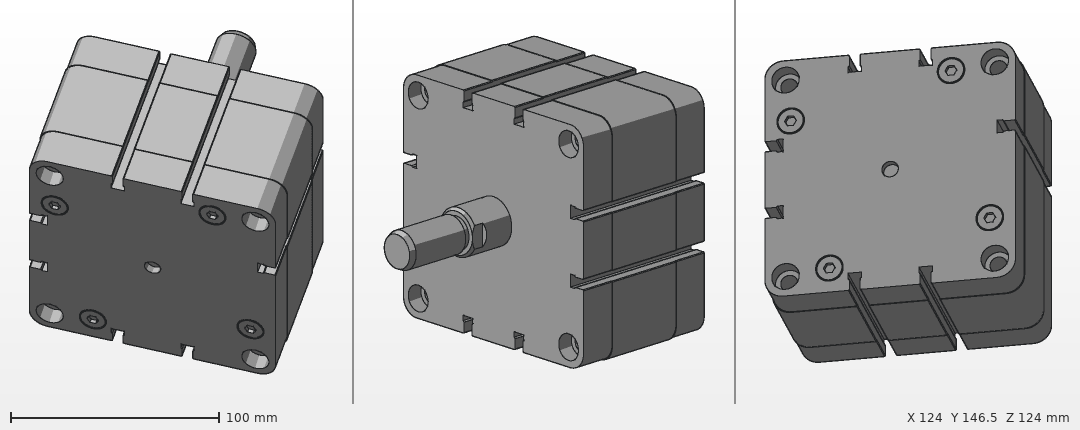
import cadquery as cq

BARREL_SIDE = 124.0
CAP_SIDE = 123.2
BARREL_LENGTH = 43.0
CAP_LENGTH = 19.2
CORNER_RADIUS = 9.1
BODY_LENGTH = BARREL_LENGTH + 2 * CAP_LENGTH

SLOT_OFFSET = 17.5
SLOT_NECK_WIDTH = 5.3
SLOT_FOOT_WIDTH = 6.6
SLOT_MOUTH_CHAMFER = 0.5
SLOT_FLOOR_HEIGHT = 52.6
SLOT_FOOT_HEIGHT = 3.4

SLOTS = [
    (0, -SLOT_OFFSET),
    (0, SLOT_OFFSET),
    (180, -SLOT_OFFSET),
    (180, SLOT_OFFSET),
    (-90, -SLOT_OFFSET),
    (-90, SLOT_OFFSET),
    (90, -SLOT_OFFSET),
]

MOUNT_OFFSET = 51.4
MOUNT_DIAMETER = 8.4
COUNTERBORE_DIAMETER = 13.5
COUNTERBORE_DEPTH = 8.5

SCREW_X = 29.9
SCREW_Z = 49.0
SCREW_HEAD_DIAMETER = 12.5
SCREW_POCKET_DIAMETER = 13.5
SCREW_GAP_DEPTH = 0.6
HEX_ACROSS_FLATS = 5.0
HEX_DEPTH = 2.0
HEX_TURN = 30

CENTRE_DIAMETER = 8.0
CENTRE_DEPTH = 4.0

OVERALL_LENGTH = 146.5
ROD_DIAMETER = 25.0
ROD_CHAMFER = 1.5
SHOULDER_Y = 106.5
FLATS_WIDTH = 22.0
FLATS_LENGTH = 7.0
FLATS_RUN_OUT = 1.2
THREAD_DIAMETER = 20.0
RELIEF_DIAMETER = 17.5
RELIEF_LENGTH = 3.0
RELIEF_TAPER = 0.6
TIP_DIAMETER = 17.5
TIP_CHAMFER_LENGTH = 3.1


def slot(side, start, length, angle, offset):
    """T-slot in the top face of a block with the given side, turned about the Y axis."""
    surface = side / 2
    neck = SLOT_NECK_WIDTH / 2
    foot = SLOT_FOOT_WIDTH / 2
    mouth = neck + SLOT_MOUTH_CHAMFER
    shoulder = SLOT_FLOOR_HEIGHT + SLOT_FOOT_HEIGHT
    half_outline = [
        (foot, SLOT_FLOOR_HEIGHT),
        (foot, shoulder - (foot - neck)),
        (neck, shoulder),
        (neck, surface - SLOT_MOUTH_CHAMFER),
        (mouth, surface),
    ]
    other_half = [(-x, z) for x, z in reversed(half_outline)]
    outline = cq.Workplane("XZ", origin=(offset, start, 0)).polyline(half_outline + other_half)
    return outline.close().extrude(-length).rotate((0, 0, 0), (0, 1, 0), angle)


def housing_section(side, start, length):
    """Rounded square block with all its slots."""
    block = cq.Workplane("XY").box(side, length, side)
    block = block.edges("|Y").fillet(CORNER_RADIUS).translate((0, start + length / 2, 0))
    for angle, offset in SLOTS:
        block = block.cut(slot(side, start, length, angle, offset))
    return block


def cylinder(diameter, start, length, x=0, z=0):
    return cq.Workplane("XZ", origin=(x, start, z)).circle(diameter / 2).extrude(-length)


def mounting_hole(x, z):
    hole = cylinder(MOUNT_DIAMETER, 0, BODY_LENGTH, x, z)
    for start in (0, BODY_LENGTH - COUNTERBORE_DEPTH):
        hole = hole.union(cylinder(COUNTERBORE_DIAMETER, start, COUNTERBORE_DEPTH, x, z))
    return hole


def screw_recess(x, z):
    """Ring gap around the screw head plus its hexagon socket."""
    gap = cylinder(SCREW_POCKET_DIAMETER, 0, SCREW_GAP_DEPTH, x, z)
    gap = gap.cut(cylinder(SCREW_HEAD_DIAMETER, 0, SCREW_GAP_DEPTH, x, z))
    hexagon = cq.Workplane("XZ", origin=(x, 0, z)).polygon(6, HEX_ACROSS_FLATS, circumscribed=True)
    socket = hexagon.extrude(-HEX_DEPTH).rotate((x, 0, z), (x, 1, z), HEX_TURN)
    return gap.union(socket)


def piston_rod():
    rod_radius = ROD_DIAMETER / 2
    thread_radius = THREAD_DIAMETER / 2
    relief_radius = RELIEF_DIAMETER / 2
    thread_start = SHOULDER_Y + RELIEF_LENGTH
    profile = [
        (0, BODY_LENGTH),
        (rod_radius, BODY_LENGTH),
        (rod_radius, SHOULDER_Y - ROD_CHAMFER),
        (rod_radius - ROD_CHAMFER, SHOULDER_Y),
        (relief_radius, SHOULDER_Y),
        (relief_radius, thread_start),
        (thread_radius, thread_start + RELIEF_TAPER),
        (thread_radius, OVERALL_LENGTH - TIP_CHAMFER_LENGTH),
        (TIP_DIAMETER / 2, OVERALL_LENGTH),
        (0, OVERALL_LENGTH),
    ]
    rod = cq.Workplane("XY").polyline(profile).close().revolve(360, (0, 0, 0), (0, 1, 0))

    flat_x = FLATS_WIDTH / 2
    flat_end = SHOULDER_Y - FLATS_LENGTH
    flat = [
        (flat_x, SHOULDER_Y),
        (flat_x, flat_end),
        (rod_radius, flat_end - FLATS_RUN_OUT),
        (rod_radius, SHOULDER_Y),
    ]
    cutter = cq.Workplane("XY").polyline(flat).close().extrude(rod_radius, both=True)
    return rod.cut(cutter).cut(cutter.mirror("YZ"))


body = housing_section(BARREL_SIDE, CAP_LENGTH, BARREL_LENGTH)
for cap_start in (0, CAP_LENGTH + BARREL_LENGTH):
    body = body.union(housing_section(CAP_SIDE, cap_start, CAP_LENGTH))

for x in (-MOUNT_OFFSET, MOUNT_OFFSET):
    for z in (-MOUNT_OFFSET, MOUNT_OFFSET):
        body = body.cut(mounting_hole(x, z))

for sign in (-1, 1):
    body = body.cut(screw_recess(sign * SCREW_X, sign * SCREW_Z))
    body = body.cut(screw_recess(sign * SCREW_Z, -sign * SCREW_X))

body = body.cut(cylinder(CENTRE_DIAMETER, 0, CENTRE_DEPTH))

result = body.union(piston_rod())